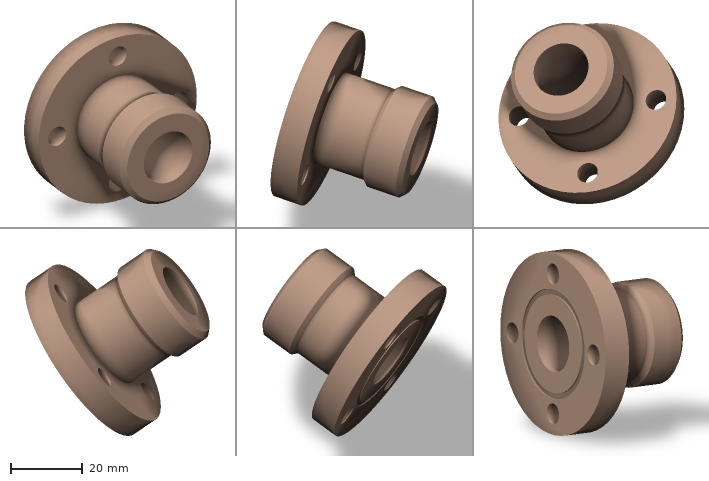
import cadquery as cq

total_length = 35.0
flange_thickness = 8.0
collar_start = 22.8
collar_chamfer = 1.5

flange_diameter = 52.0
neck_diameter = 27.0
collar_diameter = neck_diameter + 2 * collar_chamfer
bore_diameter = 16.0

bolt_count = 4
bolt_hole_diameter = 6.0
bolt_circle_diameter = 40.0

groove_outer_diameter = 31.2
groove_inner_diameter = 28.1
groove_depth = 0.5


def disc(diameter, start, end):
    """Solid cylinder about the X axis between two axial positions."""
    return cq.Workplane("YZ", origin=(start, 0, 0)).circle(diameter / 2).extrude(end - start)


flange = disc(flange_diameter, 0, flange_thickness)
neck = disc(neck_diameter, 0, collar_start)
collar = disc(collar_diameter, collar_start, total_length).edges().chamfer(collar_chamfer)
body = flange.union(neck).union(collar)

body = body.cut(disc(bore_diameter, 0, total_length))

bolt_holes = (
    cq.Workplane("YZ")
    .polarArray(bolt_circle_diameter / 2, 0, 360, bolt_count)
    .circle(bolt_hole_diameter / 2)
    .extrude(flange_thickness)
)
body = body.cut(bolt_holes)

groove = disc(groove_outer_diameter, 0, groove_depth).cut(disc(groove_inner_diameter, 0, groove_depth))
result = body.cut(groove)